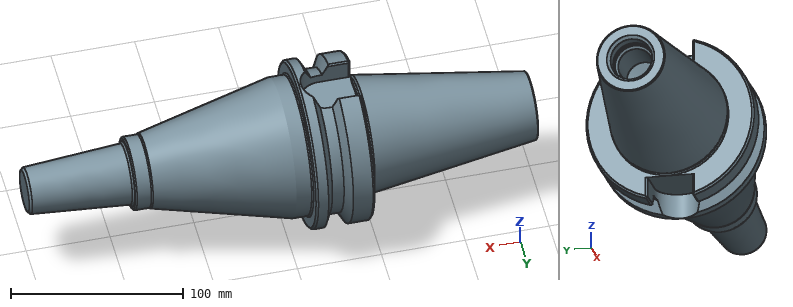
import cadquery as cq
import math

overall_length = 301.8
gauge_x = 101.0
relief_front_x = 102.3
relief_rear_x = 103.5
flange_front_x = 104.5
flange_rear_x = 139.5
groove_front_x = 117.5
groove_floor_front_x = 121.3
groove_floor_rear_x = 128.3
groove_rear_x = 132.2
body_cone_x = 149.5
body_cone_end_x = 230.3
collar_front_x = 231.2
collar_rear_x = 240.5
nose_x = 241.7

gauge_radius = 35.0
taper_ratio = 7 / 24
relief_radius = 34.0
flange_diameter = 100.0
flange_radius = flange_diameter / 2
groove_radius = 43.0
body_radius = 41.5
body_cone_end_radius = 22.3
collar_radius = 21.7
nose_root_radius = 18.0
nose_tip_radius = 14.0

edge_chamfer = 1.2
flange_foot = 1.0
collar_chamfer = 1.0
shank_tip_chamfer = 0.5
keyway_chamfer = 1.2
nose_chamfer = 1.5

keyway_half_width = 13.3
keyway_floor = 35.3
keyway_end_x = 137.0

mouth_radius = 14.2
mouth_chamfer = 1.8
counterbore_radius = 12.5
counterbore_depth = 8.5
pilot_radius = 11.8
pilot_depth = 11.5
core_radius = 10.3
core_depth = 36.2
drill_half_angle = 59.0

shank_tip_radius = gauge_radius - gauge_x * taper_ratio / 2


def revolve_about_x(profile):
    return cq.Workplane("XY").polyline(profile).close().revolve(360, (0, 0, 0), (1, 0, 0))


def make_body():
    profile = [
        (0, 0),
        (0, shank_tip_radius - shank_tip_chamfer),
        (shank_tip_chamfer, shank_tip_radius + shank_tip_chamfer * taper_ratio / 2),
        (gauge_x, gauge_radius),
        (relief_front_x, relief_radius),
        (relief_rear_x, relief_radius),
        (flange_front_x, relief_radius + flange_front_x - relief_rear_x),
        (flange_front_x, flange_radius - edge_chamfer),
        (flange_front_x + edge_chamfer, flange_radius),
        (groove_front_x, flange_radius),
        (groove_floor_front_x, groove_radius),
        (groove_floor_rear_x, groove_radius),
        (groove_rear_x, flange_radius),
        (flange_rear_x - edge_chamfer, flange_radius),
        (flange_rear_x, flange_radius - edge_chamfer),
        (flange_rear_x, body_radius + flange_foot),
        (flange_rear_x + flange_foot, body_radius),
        (body_cone_x, body_radius),
        (body_cone_end_x, body_cone_end_radius),
        (collar_front_x, collar_radius),
        (collar_rear_x - collar_chamfer, collar_radius),
        (collar_rear_x, collar_radius - collar_chamfer),
        (collar_rear_x, nose_root_radius + nose_x - collar_rear_x),
        (nose_x, nose_root_radius),
        (overall_length - nose_chamfer, nose_tip_radius),
        (overall_length, nose_tip_radius - nose_chamfer),
        (overall_length, 0),
    ]
    return revolve_about_x(profile)


def make_bore():
    tip_depth = core_depth + core_radius / math.tan(math.radians(drill_half_angle))
    profile = [
        (0, 0),
        (0, mouth_radius),
        (mouth_chamfer, counterbore_radius),
        (counterbore_depth, counterbore_radius),
        (counterbore_depth + counterbore_radius - pilot_radius, pilot_radius),
        (pilot_depth, pilot_radius),
        (pilot_depth + pilot_radius - core_radius, core_radius),
        (core_depth, core_radius),
        (tip_depth, 0),
    ]
    return revolve_about_x(profile)


def make_keyway():
    arc_start_x = keyway_end_x - keyway_half_width
    height = flange_radius - keyway_floor
    slot = (
        cq.Workplane("XY", origin=(0, 0, keyway_floor))
        .moveTo(flange_front_x, -keyway_half_width)
        .lineTo(arc_start_x, -keyway_half_width)
        .threePointArc((keyway_end_x, 0), (arc_start_x, keyway_half_width))
        .lineTo(flange_front_x, keyway_half_width)
        .close()
        .extrude(height)
    )
    entry_flare = (
        cq.Workplane("XY", origin=(0, 0, keyway_floor))
        .polyline([
            (flange_front_x, -keyway_half_width - keyway_chamfer),
            (flange_front_x + keyway_chamfer, -keyway_half_width),
            (flange_front_x + keyway_chamfer, keyway_half_width),
            (flange_front_x, keyway_half_width + keyway_chamfer),
        ])
        .close()
        .extrude(height)
    )
    rim_z = math.sqrt(flange_radius**2 - keyway_half_width**2)
    flare_base_z = rim_z - keyway_chamfer
    flare_top_half_width = keyway_half_width + flange_radius - flare_base_z
    rim_flare = (
        cq.Workplane("YZ", origin=(flange_front_x, 0, 0))
        .polyline([
            (-keyway_half_width, flare_base_z),
            (keyway_half_width, flare_base_z),
            (flare_top_half_width, flange_radius),
            (-flare_top_half_width, flange_radius),
        ])
        .close()
        .extrude(groove_floor_front_x - flange_front_x)
    )
    return slot.union(entry_flare).union(rim_flare)


keyway = make_keyway()
result = make_body().cut(make_bore())
for angle in (0, 180):
    result = result.cut(keyway.rotate((0, 0, 0), (1, 0, 0), angle))